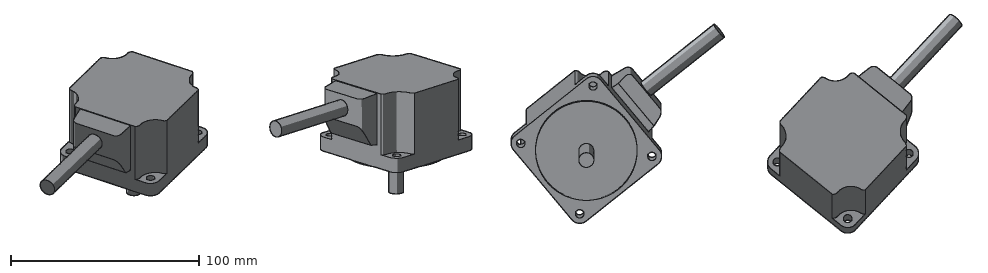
import cadquery as cq
import math

body_side = 60.0
body_height = 42.0
corner_radius = 5.5
flange_thickness = 8.0
hole_diameter = 4.5
hole_spacing = 49.5

pilot_diameter = 54.0
pilot_height = 2.0
shaft_diameter = 8.0
shaft_length = 21.9

relief_end_x = 11.6
relief_wall_x = 10.2
relief_wall_start_y = 2.5
relief_wall_end_y = 4.1
relief_arc_middle = (7.6, 9.4)
relief_arc_end = (2.7, 12.1)
relief_end_y = 13.4
relief_edge_radius = 3.0

gland_width = 31.0
gland_length = 11.0
gland_draft = math.radians(7)
gland_edge_radius = 3.1
gland_top_depth = 0.4
gland_bottom_depth = 29.0
gland_knee_length = 4.1
gland_tip_bottom_depth = 17.2

overall_length = 121
cable_diameter = 9.0
cable_depth = 9.4

half_side = body_side / 2
front_y = -half_side
gland_tip_y = front_y - gland_length


def make_corner_relief():
    """Cutter for the +X +Y corner: a concave arc that flares out to both sides."""
    def inset(x, y):
        return half_side - x, half_side - y

    return (
        cq.Workplane("XY")
        .workplane(offset=flange_thickness)
        .moveTo(*inset(0, 0))
        .lineTo(*inset(relief_end_x, 0))
        .radiusArc(inset(relief_wall_x, relief_wall_start_y), relief_edge_radius)
        .lineTo(*inset(relief_wall_x, relief_wall_end_y))
        .threePointArc(inset(*relief_arc_middle), inset(*relief_arc_end))
        .radiusArc(inset(0, relief_end_y), relief_edge_radius)
        .close()
        .extrude(body_height - flange_thickness)
    )


def make_body():
    body = (
        cq.Workplane("XY")
        .rect(body_side, body_side)
        .extrude(body_height)
        .edges("|Z")
        .fillet(corner_radius)
    )
    relief = make_corner_relief()
    opposite_relief = relief.mirror("YZ")
    for cutter in (relief, opposite_relief):
        body = body.cut(cutter).cut(cutter.mirror("XZ"))
    holes = (
        cq.Workplane("XY")
        .rect(hole_spacing, hole_spacing, forConstruction=True)
        .vertices()
        .circle(hole_diameter / 2)
        .extrude(flange_thickness)
    )
    return body.cut(holes)


def make_gland():
    """Intersect the drafted plan outline with the drafted side outline."""
    def drop(length):
        return length * math.tan(gland_draft)

    base_half = gland_width / 2
    tip_half = base_half - drop(gland_length)
    plan = (
        cq.Workplane("XY")
        .polyline([
            (-base_half, front_y),
            (-tip_half, gland_tip_y),
            (tip_half, gland_tip_y),
            (base_half, front_y),
        ])
        .close()
        .extrude(body_height)
        .edges("|Z and <Y")
        .fillet(gland_edge_radius)
    )
    top_z = body_height - gland_top_depth
    bottom_z = body_height - gland_bottom_depth
    side = (
        cq.Workplane("YZ")
        .polyline([
            (front_y, top_z),
            (gland_tip_y, top_z - drop(gland_length)),
            (gland_tip_y, body_height - gland_tip_bottom_depth),
            (front_y - gland_knee_length, bottom_z + drop(gland_knee_length)),
            (front_y, bottom_z),
        ])
        .close()
        .extrude(base_half, both=True)
    )
    return plan.intersect(side)


def make_cable():
    cable_length = overall_length - body_side - gland_length
    return (
        cq.Workplane("XZ", origin=(0, gland_tip_y, body_height - cable_depth))
        .circle(cable_diameter / 2)
        .extrude(cable_length)
    )


def make_pilot_and_shaft():
    pilot = cq.Workplane("XY").circle(pilot_diameter / 2).extrude(-pilot_height)
    return pilot.faces("<Z").workplane().circle(shaft_diameter / 2).extrude(shaft_length)


result = make_body().union(make_pilot_and_shaft()).union(make_gland()).union(make_cable())